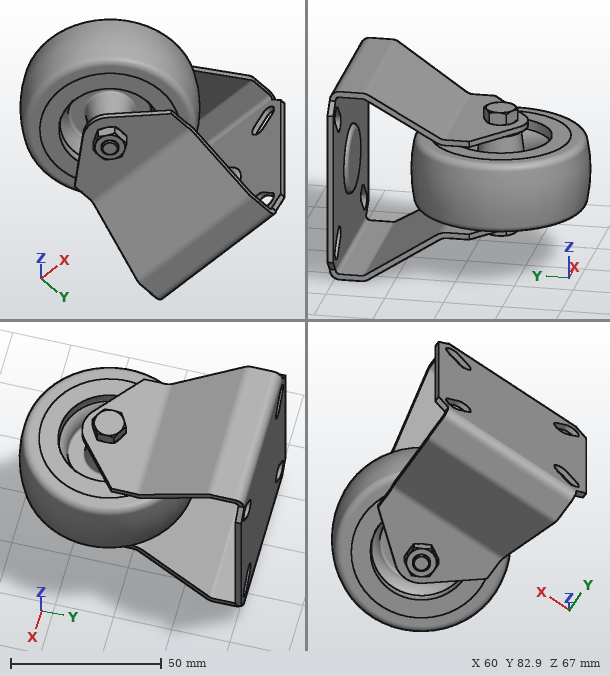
import cadquery as cq
import math


sheet = 2.0
plate_back_y = 53.0
plate_half_width = 30.0
plate_corner_cut = 4.0
bracket_half_height = 33.5
root_bend_outer_radius = 3.5
bend_inner_radius = 2.1
lower_bend_inner_radius = 4.1
arm_outer_z = 17.5
arm_half_width = plate_half_width - plate_corner_cut
shoulder_drop = 12.1
slope_end_drop = 37.6
taper_start_drop = 10.9
taper_end_drop = 39.1
arm_tip_half_width = 22.1
arm_tip_side_end_y = 6.4
arm_tip_radius = 9.0
slot_width = 6.0
slot_length = 11.6
slot_outer_x = 23.95
slot_outer_z = 23.95
boss_diameter = 23.7
boss_height = 1.3
boss_flat_diameter = 20.2

wheel_radius = 29.9
wheel_half_width = 12.1
tread_edge_radius = 28.9
tread_edge_z = 10.0
tyre_face_radius = 26.4
tyre_inner_diameter = 46.75
recess_diameter = 34.0
recess_wall_depth = 3.2
recess_wall_fillet = 0.3
recess_floor_radius = 12.85
web_half_thickness = 2.1
recess_floor_fillet = 1.1
hub_end_z = 14.0
hub_end_radius = 6.8
hub_base_radius = 8.3
hub_base_fillet = 0.7

hex_flats = 10.0
hex_height = 4.5
hex_chamfer_angle = 30.0
bolt_diameter = 5.9
bolt_tip_diameter = 4.9
bolt_end_z = -22.8
bolt_shoulder_diameter = 7.9
bolt_shoulder_end_z = 15.25
bolt_hole_diameter = 6.0
bolt_shoulder_hole_diameter = 8.0


def make_bent_sheet():
    """Plate and both arms at full width, with every bend rounded."""
    plate_front_y = plate_back_y - sheet
    shoulder_y = plate_back_y - shoulder_drop
    slope_end_y = plate_back_y - slope_end_drop
    slope_angle = math.atan2(bracket_half_height - arm_outer_z, shoulder_y - slope_end_y)
    inner_corner_shift = sheet * math.tan(slope_angle / 2)
    inner_half_height = bracket_half_height - sheet
    arm_inner_z = arm_outer_z - sheet
    outer = [
        (plate_back_y, bracket_half_height),
        (shoulder_y, bracket_half_height),
        (slope_end_y, arm_outer_z),
        (-arm_tip_radius, arm_outer_z),
    ]
    inner = [
        (-arm_tip_radius, arm_inner_z),
        (slope_end_y + inner_corner_shift, arm_inner_z),
        (shoulder_y + inner_corner_shift, inner_half_height),
        (plate_front_y, inner_half_height),
    ]
    upper_half = outer + inner
    lower_half = [(y, -z) for y, z in reversed(upper_half)]
    sheet_body = (
        cq.Workplane("YZ")
        .polyline(upper_half + lower_half)
        .close()
        .extrude(plate_half_width, both=True)
    )
    bends = [
        (outer[0], root_bend_outer_radius),
        (outer[1], bend_inner_radius + sheet),
        (outer[2], lower_bend_inner_radius),
        (inner[1], lower_bend_inner_radius + sheet),
        (inner[2], bend_inner_radius),
        (inner[3], root_bend_outer_radius - sheet),
    ]
    for (y, z), radius in bends:
        for side in (1, -1):
            edge = cq.selectors.NearestToPointSelector((0, y, side * z))
            sheet_body = sheet_body.edges("|X").edges(edge).fillet(radius)
    return sheet_body


def make_arm_outline():
    """Block whose outline is the arms seen along the axle."""
    reach = math.hypot(arm_tip_half_width, arm_tip_side_end_y)
    corner_angle = math.atan2(arm_tip_side_end_y, arm_tip_half_width)
    edge_angle = corner_angle + math.asin(arm_tip_radius / reach)
    tangent_x = arm_tip_radius * math.sin(edge_angle)
    tangent_y = -arm_tip_radius * math.cos(edge_angle)
    return (
        cq.Workplane("XY")
        .moveTo(-arm_half_width, plate_back_y)
        .lineTo(-arm_half_width, plate_back_y - taper_start_drop)
        .lineTo(-arm_tip_half_width, plate_back_y - taper_end_drop)
        .lineTo(-arm_tip_half_width, arm_tip_side_end_y)
        .lineTo(-tangent_x, tangent_y)
        .threePointArc((0, -arm_tip_radius), (tangent_x, tangent_y))
        .lineTo(arm_tip_half_width, arm_tip_side_end_y)
        .lineTo(arm_tip_half_width, plate_back_y - taper_end_drop)
        .lineTo(arm_half_width, plate_back_y - taper_start_drop)
        .lineTo(arm_half_width, plate_back_y)
        .close()
        .extrude(bracket_half_height, both=True)
    )


def make_plate_outline():
    """Block around the mounting plate alone, with its four corners cut at 45 degrees."""
    return (
        cq.Workplane("XY")
        .box(2 * plate_half_width, sheet, 2 * plate_half_width)
        .edges("|Y")
        .chamfer(plate_corner_cut)
        .translate((0, plate_back_y - sheet / 2, 0))
    )


def make_plate_slot(side_x, side_z):
    """Cutter for one mounting slot, lying on a line towards the plate centre."""
    inset = (slot_length - slot_width) / 2 * math.sqrt(0.5)
    return (
        cq.Workplane("XY")
        .slot2D(slot_length, slot_width)
        .extrude(2 * sheet, both=True)
        .rotate((0, 0, 0), (0, 0, 1), 45 * side_x * side_z)
        .rotate((0, 0, 0), (1, 0, 0), 90)
        .translate((side_x * (slot_outer_x - inset), plate_back_y, side_z * (slot_outer_z - inset)))
    )


def make_plate_boss():
    """Low round boss on the plate's front, its rim rounded into the flat top."""
    return (
        cq.Workplane("XY", origin=(0, plate_back_y - sheet, 0))
        .lineTo(0, -boss_height)
        .lineTo(boss_flat_diameter / 2, -boss_height)
        .tangentArcPoint((boss_diameter / 2, 0), relative=False)
        .close()
        .revolve(360, (0, 0, 0), (0, 1, 0))
    )


def make_bracket():
    """Bent sheet trimmed to its outlines, with slots, plate boss and bolt holes."""
    bracket = make_bent_sheet().intersect(make_arm_outline().union(make_plate_outline()))
    for side_x in (1, -1):
        for side_z in (1, -1):
            bracket = bracket.cut(make_plate_slot(side_x, side_z))
    upper_hole = cq.Workplane("XY").circle(bolt_shoulder_hole_diameter / 2).extrude(bracket_half_height)
    lower_hole = cq.Workplane("XY").circle(bolt_hole_diameter / 2).extrude(-bracket_half_height)
    return bracket.union(make_plate_boss()).cut(upper_hole).cut(lower_hole)


def make_tyre():
    """Crowned tread with rounded edges, turned about the axle."""
    inner_radius = tyre_inner_diameter / 2
    return (
        cq.Workplane("XZ")
        .moveTo(inner_radius, -wheel_half_width)
        .lineTo(tyre_face_radius, -wheel_half_width)
        .tangentArcPoint((tread_edge_radius, -tread_edge_z), relative=False)
        .threePointArc((wheel_radius, 0), (tread_edge_radius, tread_edge_z))
        .tangentArcPoint((tyre_face_radius, wheel_half_width), relative=False)
        .lineTo(inner_radius, wheel_half_width)
        .close()
        .revolve(360, (0, 0, 0), (0, 1, 0))
    )


def make_hub_half():
    """Upper half of the hub: tapered centre boss inside a recess with a rounded lower wall."""
    floor_z = web_half_thickness
    recess_radius = recess_diameter / 2
    ledge_z = wheel_half_width - recess_wall_depth
    bore_radius = bolt_hole_diameter / 2
    outer_radius = tyre_inner_diameter / 2
    half = (
        cq.Workplane("XZ")
        .moveTo(bore_radius, 0)
        .lineTo(bore_radius, hub_end_z)
        .lineTo(hub_end_radius, hub_end_z)
        .lineTo(hub_base_radius, floor_z)
        .lineTo(recess_floor_radius, floor_z)
        .tangentArcPoint((recess_floor_fillet, recess_floor_fillet))
        .tangentArcPoint((recess_radius - recess_wall_fillet, ledge_z), relative=False)
        .radiusArc((recess_radius, ledge_z + recess_wall_fillet), -recess_wall_fillet)
        .lineTo(recess_radius, wheel_half_width)
        .lineTo(outer_radius, wheel_half_width)
        .lineTo(outer_radius, 0)
        .close()
        .revolve(360, (0, 0, 0), (0, 1, 0))
    )
    base_circle = half.edges("%CIRCLE").filter(lambda edge: math.isclose(edge.radius(), hub_base_radius))
    return base_circle.fillet(hub_base_fillet)


def make_hub():
    """Hub from two mirrored halves, bored through for the bolt."""
    half = make_hub_half()
    return half.union(half.mirror("XY"))


def make_hexagon():
    """Hexagonal block from Z = 0 upwards, corners chamfered at both ends."""
    flat_radius = hex_flats / 2
    corner_radius = flat_radius / math.cos(math.radians(30))
    chamfer_drop = (corner_radius - flat_radius) * math.tan(math.radians(hex_chamfer_angle))
    prism = (
        cq.Workplane("XY")
        .polygon(6, 2 * corner_radius)
        .extrude(hex_height)
        .rotate((0, 0, 0), (0, 0, 1), 30)
    )
    turned = (
        cq.Workplane("XZ")
        .polyline([
            (0, 0),
            (flat_radius, 0),
            (corner_radius, chamfer_drop),
            (corner_radius, hex_height - chamfer_drop),
            (flat_radius, hex_height),
            (0, hex_height),
        ])
        .close()
        .revolve(360, (0, 0, 0), (0, 1, 0))
    )
    return prism.intersect(turned)


def make_bolt():
    """Hexagon-head bolt with a short shoulder and a chamfered tip."""
    head = make_hexagon().translate((0, 0, arm_outer_z))
    shoulder = (
        cq.Workplane("XY", origin=(0, 0, bolt_shoulder_end_z))
        .circle(bolt_shoulder_diameter / 2)
        .extrude(arm_outer_z - bolt_shoulder_end_z)
    )
    shank = (
        cq.Workplane("XY", origin=(0, 0, bolt_end_z))
        .circle(bolt_diameter / 2)
        .extrude(arm_outer_z - bolt_end_z)
        .faces("<Z")
        .chamfer((bolt_diameter - bolt_tip_diameter) / 2)
    )
    return head.union(shoulder).union(shank)


def make_nut():
    """Hexagon nut against the lower arm, its hole matching the bolt."""
    return (
        make_hexagon()
        .faces("<Z")
        .workplane()
        .circle(bolt_diameter / 2)
        .cutThruAll()
        .translate((0, 0, -arm_outer_z - hex_height))
    )


bracket = make_bracket()
tyre = make_tyre()
hub = make_hub()
bolt = make_bolt()
nut = make_nut()

result = cq.Compound.makeCompound([bracket.val(), tyre.val(), hub.val(), bolt.val(), nut.val()])